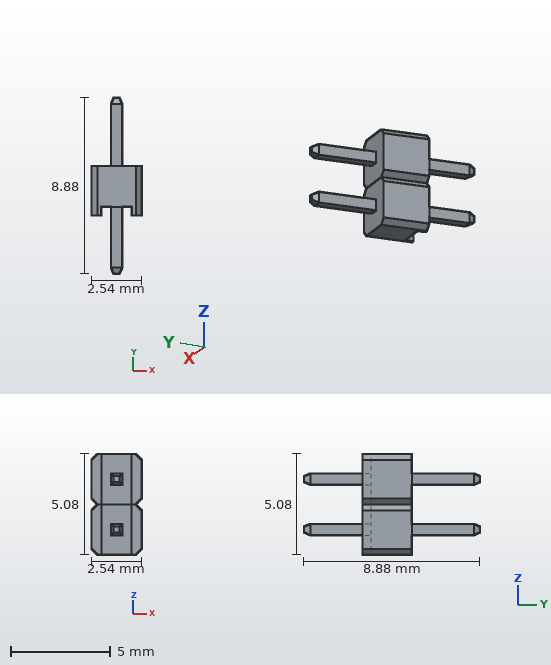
import cadquery as cq

pitch = 2.54
module_count = 2

housing_side = pitch
housing_depth = 2.5
corner_chamfer = 0.3
housing_front = -housing_depth / 2
housing_rear = housing_depth / 2

channel_width = 1.52
channel_depth = 0.44

pin_side = 0.58
pin_tip_side = 0.3
taper_length = 0.32
pin_length = 8.88
pin_rear_reach = 3.44
pin_rear = housing_rear + pin_rear_reach
pin_front = pin_rear - pin_length


def make_housing():
    block = (
        cq.Workplane("XY")
        .box(housing_side, housing_depth, housing_side)
        .edges("|Y")
        .chamfer(corner_chamfer)
    )
    channel = cq.Workplane("XY").box(
        channel_width, channel_depth, housing_side, centered=(True, False, True)
    )
    return block.cut(channel.translate((0, housing_front, 0)))


def make_pin():
    shank_rear = pin_rear - taper_length
    shank_front = pin_front + taper_length
    shank = (
        cq.Workplane("XZ", origin=(0, shank_rear, 0))
        .rect(pin_side, pin_side)
        .extrude(shank_rear - shank_front)
    )
    front_tip = make_tip(shank_front, taper_length)
    rear_tip = make_tip(shank_rear, -taper_length)
    return shank.union(front_tip).union(rear_tip)


def make_tip(base_y, offset):
    return (
        cq.Workplane("XZ", origin=(0, base_y, 0))
        .rect(pin_side, pin_side)
        .workplane(offset=offset)
        .rect(pin_tip_side, pin_tip_side)
        .loft(ruled=True)
    )


def make_module(center_z):
    return make_housing().union(make_pin()).translate((0, 0, center_z))


modules = []
for index in range(module_count):
    center_z = (index - (module_count - 1) / 2) * pitch
    modules.append(make_module(center_z))

result = cq.Compound.makeCompound([module.solids().val() for module in modules])